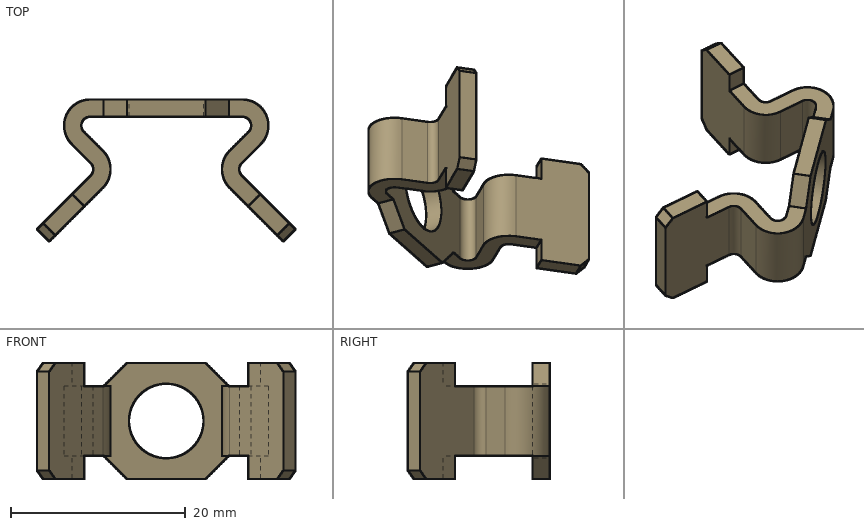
import cadquery as cq
import math

thickness = 2.0
inner_radius = 1.0
outer_radius = inner_radius + thickness
strip_height = 8.0

plate_height = 13.3
plate_flat_half_length = 4.5
plate_chamfer = (plate_height - strip_height) / 2
plate_half_length = plate_flat_half_length + plate_chamfer
hole_diameter = 8.5

overall_length = 29.61
overall_depth = 16.27
bend_start_x = 8.7
neck_length = 3.0
head_chamfer = 1.0
diagonal = math.sqrt(0.5)

web_plus_leg = (overall_depth - outer_radius) / diagonal - (inner_radius + 2 * outer_radius)
leg_minus_web = (overall_length / 2 - bend_start_x) / diagonal - outer_radius
leg_length = (web_plus_leg + leg_minus_web) / 2
web_length = (web_plus_leg - leg_minus_web) / 2

OUT_FORWARD = cq.Vector(diagonal, -diagonal)
IN_FORWARD = cq.Vector(-diagonal, -diagonal)
OUT_BACK = cq.Vector(diagonal, diagonal)
IN_BACK = cq.Vector(-diagonal, diagonal)
BACK = cq.Vector(0, 1)
INWARD = cq.Vector(-1, 0)

upper_center = cq.Vector(bend_start_x, -outer_radius)
lower_center = upper_center + OUT_FORWARD * (inner_radius + outer_radius) + IN_FORWARD * web_length
leg_inner_start = lower_center + IN_FORWARD * outer_radius
leg_outer_start = lower_center + IN_FORWARD * inner_radius


def xy(vector):
    """X and Y of a vector."""
    return vector.x, vector.y


def make_plate():
    """Eight-sided plate with a central hole."""
    return (
        cq.Workplane("XZ")
        .rect(2 * plate_half_length, plate_height)
        .extrude(thickness)
        .edges("|Y")
        .chamfer(plate_chamfer)
        .faces("<Y")
        .workplane(centerOption="CenterOfBoundBox")
        .hole(hole_diameter)
    )


def make_strip():
    """Bent strip on the +X side, from the plate to the end of the neck."""
    turn_middle = (BACK + OUT_FORWARD).normalized()
    neck = OUT_FORWARD * neck_length
    return (
        cq.Workplane("XY")
        .workplane(offset=-strip_height / 2)
        .moveTo(plate_half_length, 0)
        .lineTo(bend_start_x, 0)
        .threePointArc(
            xy(upper_center + turn_middle * outer_radius),
            xy(upper_center + OUT_FORWARD * outer_radius),
        )
        .lineTo(*xy(lower_center + IN_BACK * inner_radius))
        .threePointArc(xy(lower_center + INWARD * inner_radius), xy(leg_outer_start))
        .lineTo(*xy(leg_outer_start + neck))
        .lineTo(*xy(leg_inner_start + neck))
        .lineTo(*xy(leg_inner_start))
        .threePointArc(xy(lower_center + INWARD * outer_radius), xy(lower_center + IN_BACK * outer_radius))
        .lineTo(*xy(upper_center + OUT_FORWARD * inner_radius))
        .threePointArc(xy(upper_center + turn_middle * inner_radius), (bend_start_x, -thickness))
        .lineTo(plate_half_length, -thickness)
        .close()
        .extrude(strip_height)
    )


def make_head():
    """Wide head on the +X side, with chamfered free corners."""
    head_length = leg_length - neck_length
    head_start = leg_inner_start + OUT_FORWARD * neck_length
    head_plane = cq.Plane(origin=head_start, xDir=OUT_FORWARD, normal=OUT_BACK)
    return (
        cq.Workplane(head_plane)
        .center(head_length / 2, 0)
        .rect(head_length, plate_height)
        .extrude(thickness)
        .faces(cq.selectors.DirectionMinMaxSelector(OUT_FORWARD))
        .edges(cq.selectors.ParallelDirSelector(OUT_BACK))
        .chamfer(head_chamfer)
    )


right_side = make_strip().union(make_head())
left_side = right_side.mirror("YZ")
result = make_plate().union(right_side).union(left_side)